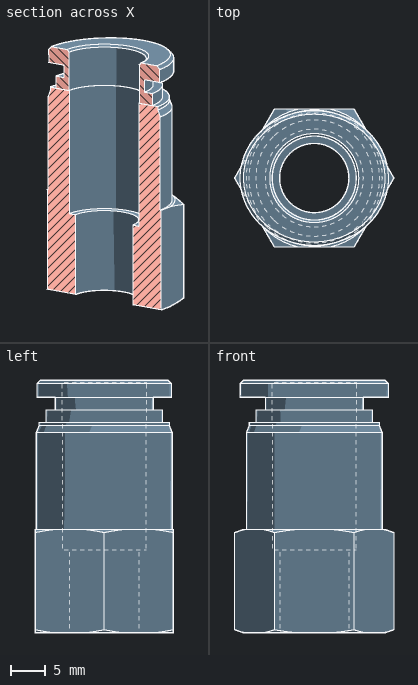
import cadquery as cq
import math

hex_across_flats = 20.0
hex_across_corners = hex_across_flats / math.cos(math.radians(30))
hex_height = 15.0
hex_chamfer_angle = 20.0
hex_chamfer_start_diameter = 20.5
envelope_margin = 1.0
barrel_diameter = 19.7
barrel_top = 29.0
lip_diameter = 18.9
lip_bottom = 30.0
body_top = 30.5
tube_bore_diameter = 12.15
tube_stop_height = 12.0
flow_bore_diameter = 10.0

sleeve_top = 36.6
sleeve_bore_diameter = 12.2
collar_diameter = 16.9
collar_top = 32.3
neck_diameter = 14.2
flange_length = 21.5
flange_width = 19.5
flange_thickness = 2.5
flange_bottom = sleeve_top - flange_thickness
flange_chamfer = 0.5
mouth_chamfer = 0.35


def cylinder(diameter, bottom, top):
    return cq.Workplane("XY").workplane(offset=bottom).circle(diameter / 2).extrude(top - bottom)


def make_hexagon():
    """Hexagonal prism with its corners turned off at both ends."""
    prism = cq.Workplane("XY").polygon(6, hex_across_corners).extrude(hex_height)
    start_radius = hex_chamfer_start_diameter / 2
    rim_radius = hex_across_corners / 2 + envelope_margin
    rim_drop = (rim_radius - start_radius) * math.tan(math.radians(hex_chamfer_angle))
    envelope = (
        cq.Workplane("XZ")
        .moveTo(0, 0)
        .lineTo(start_radius, 0)
        .lineTo(rim_radius, rim_drop)
        .lineTo(rim_radius, hex_height - rim_drop)
        .lineTo(start_radius, hex_height)
        .lineTo(0, hex_height)
        .close()
        .revolve(360, (0, 0, 0), (0, 1, 0))
    )
    return prism.intersect(envelope)


def make_barrel():
    return (
        cq.Workplane("XZ")
        .moveTo(0, hex_height)
        .lineTo(barrel_diameter / 2, hex_height)
        .lineTo(barrel_diameter / 2, barrel_top)
        .lineTo(lip_diameter / 2, lip_bottom)
        .lineTo(lip_diameter / 2, body_top)
        .lineTo(0, body_top)
        .close()
        .revolve(360, (0, 0, 0), (0, 1, 0))
    )


def make_body():
    body = make_hexagon().union(make_barrel())
    body = body.cut(cylinder(tube_bore_diameter, tube_stop_height, body_top))
    return body.cut(cylinder(flow_bore_diameter, 0, tube_stop_height))


def make_sleeve():
    flange = (
        cq.Workplane("XY")
        .workplane(offset=flange_bottom)
        .ellipse(flange_length / 2, flange_width / 2)
        .extrude(flange_thickness)
        .faces(">Z")
        .chamfer(flange_chamfer)
    )
    collar = cylinder(collar_diameter, body_top, collar_top)
    neck = cylinder(neck_diameter, collar_top, flange_bottom)
    sleeve = collar.union(neck).union(flange)
    sleeve = sleeve.cut(cylinder(sleeve_bore_diameter, body_top, sleeve_top))
    bore_radius = sleeve_bore_diameter / 2
    mouth = cq.Workplane(
        cq.Solid.makeCone(bore_radius, bore_radius + mouth_chamfer, mouth_chamfer,
                          pnt=cq.Vector(0, 0, sleeve_top - mouth_chamfer))
    )
    return sleeve.cut(mouth)


body = make_body()
sleeve = make_sleeve()

result = cq.Compound.makeCompound([body.val(), sleeve.val()])